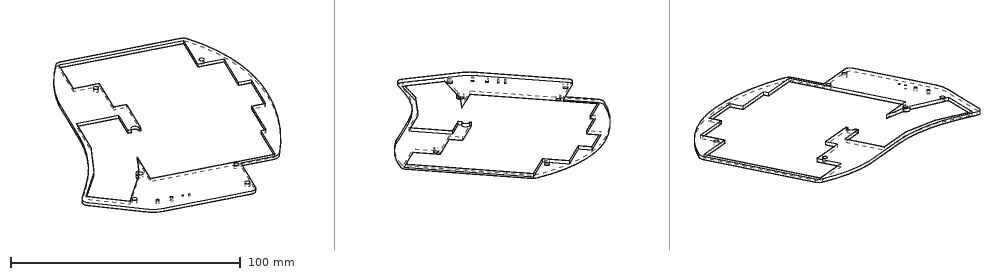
import cadquery as cq
import math

THICKNESS = 1.6
PLATE_WIDTH = 120.94
PLATE_HEIGHT = 103.08

CREST_X = 51.9
CREST_LEFT_RADIUS = 75.7
CREST_RIGHT_RADIUS = 106.0
NECK_X = 99.0
PANEL_TOP_Y = 74.55
PANEL_BEND_Y = 27.5
PANEL_SLOPE = math.radians(60)
BOTTOM_Y = 14.7
BOTTOM_LEFT_CORNER_Y = 23.8
BOTTOM_LEFT_RADIUS = 68.0
BOTTOM_FLAT_START_X = 29.4
BOTTOM_FLAT_END_X = 56.3
SWEEP_RADIUS = 75.7
SWEEP_ANGLE = math.radians(28.6)

TOP_CORNER_RADIUS = 4.0
LOWER_CORNER_RADIUS = 3.0
PANEL_CORNER_RADIUS = 2.5
PANEL_BEND_RADIUS = 15.0

KEY_PITCH = 19.05
COLUMN_HEIGHT = 57.45
FIRST_COLUMN_X = 2.15
COLUMN_BOTTOMS = (24.2, 36.2, 42.2, 35.8, 33.4)

THUMB_LEFT_X = 47.1
THUMB_BOTTOM_Y = 16.75
THUMB_TOP_Y = 36.2
THUMB_WIDTHS = (19.6, 18.5, 19.1)
THUMB_DEPTH = 19.5
THUMB_TURN = math.radians(15)

SCREW_DIAMETER = 2.2
BOSS_CENTRE = (92.34, 30.7)
SCREW_CENTRES = (
    (18.36, 84.35),
    (99.27, 72.35),
    (114.0, 72.35),
    (23.95, 33.7),
    BOSS_CENTRE,
    (109.85, 21.75),
)
PEG_DIAMETER = 1.3
PEG_CENTRES = ((114.05, 37.4), (114.05, 31.0))
PIN_DIAMETER = 0.7
PIN_CENTRES = ((114.3, 45.45), (114.3, 42.45))
BOSS_RADIUS = 2.1
NOTCH_CENTRE = (58.95, 39.6)
NOTCH_RADIUS = 1.75


def polar(start, length, angle):
    """Point at a given distance and direction from start."""
    return (start[0] + length * math.cos(angle), start[1] + length * math.sin(angle))


def crossing(point_a, angle_a, point_b, angle_b):
    """Crossing point of two lines, each given by a point and a direction."""
    dx = point_b[0] - point_a[0]
    dy = point_b[1] - point_a[1]
    length = (dx * math.sin(angle_b) - dy * math.cos(angle_b)) / math.sin(angle_b - angle_a)
    return polar(point_a, length, angle_a)


def crest_point(x, radius):
    """Point on a top arc of the given radius."""
    return (x, PLATE_HEIGHT - radius + math.sqrt(radius**2 - (x - CREST_X) ** 2))


def sweep_point(angle):
    """Point on the sweep arc after it has turned by angle from the flat bottom edge."""
    x = BOTTOM_FLAT_END_X + SWEEP_RADIUS * math.sin(angle)
    return (x, BOTTOM_Y - SWEEP_RADIUS * (1 - math.cos(angle)))


def round_corner(body, corner, radius):
    """Round the upright edge that stands at the given corner."""
    edge = cq.selectors.NearestToPointSelector((corner[0], corner[1], THICKNESS / 2))
    return body.edges("|Z").edges(edge).fillet(radius)


def make_blank():
    top_left = crest_point(0, CREST_LEFT_RADIUS)
    crest = (CREST_X, PLATE_HEIGHT)
    neck_top = crest_point(NECK_X, CREST_RIGHT_RADIUS)
    panel_corner = (PLATE_WIDTH, PANEL_TOP_Y)
    panel_bend = (PLATE_WIDTH, PANEL_BEND_Y)
    sweep_end = sweep_point(SWEEP_ANGLE)
    tip = crossing(panel_bend, PANEL_SLOPE, sweep_end, -SWEEP_ANGLE)
    bottom_left = (0, BOTTOM_LEFT_CORNER_Y)

    blank = (
        cq.Workplane("XY")
        .moveTo(*bottom_left)
        .lineTo(*top_left)
        .threePointArc(crest_point(CREST_X / 2, CREST_LEFT_RADIUS), crest)
        .threePointArc(crest_point((CREST_X + NECK_X) / 2, CREST_RIGHT_RADIUS), neck_top)
        .lineTo(NECK_X, PANEL_TOP_Y)
        .lineTo(*panel_corner)
        .lineTo(*panel_bend)
        .lineTo(*tip)
        .lineTo(*sweep_end)
        .threePointArc(sweep_point(SWEEP_ANGLE / 2), (BOTTOM_FLAT_END_X, BOTTOM_Y))
        .lineTo(BOTTOM_FLAT_START_X, BOTTOM_Y)
        .radiusArc(bottom_left, BOTTOM_LEFT_RADIUS)
        .close()
        .extrude(THICKNESS)
    )
    corners = (
        (top_left, TOP_CORNER_RADIUS),
        (neck_top, TOP_CORNER_RADIUS),
        (panel_corner, PANEL_CORNER_RADIUS),
        (panel_bend, PANEL_BEND_RADIUS),
        (tip, LOWER_CORNER_RADIUS),
        (bottom_left, LOWER_CORNER_RADIUS),
    )
    for corner, radius in corners:
        blank = round_corner(blank, corner, radius)
    return blank


def cut_key_columns(body):
    for index, bottom in enumerate(COLUMN_BOTTOMS):
        left = FIRST_COLUMN_X + index * KEY_PITCH
        column = cq.Workplane("XY").box(KEY_PITCH, COLUMN_HEIGHT, THICKNESS, centered=False)
        body = body.cut(column.translate((left, bottom, 0)))
    return body


def cut_thumb_keys(body):
    corners = [(THUMB_LEFT_X, THUMB_BOTTOM_Y)]
    for index, width in enumerate(THUMB_WIDTHS):
        corners.append(polar(corners[-1], width, -index * THUMB_TURN))
    middle_turn = -THUMB_TURN
    outer_turn = -2 * THUMB_TURN
    outer_top = polar(corners[-1], THUMB_DEPTH, outer_turn + math.pi / 2)
    middle_top = polar(corners[1], THUMB_DEPTH, middle_turn + math.pi / 2)
    inner_top = crossing(middle_top, middle_turn, outer_top, outer_turn)
    last_column_x = FIRST_COLUMN_X + (len(COLUMN_BOTTOMS) - 1) * KEY_PITCH
    middle_end = crossing(middle_top, middle_turn, (last_column_x, THUMB_TOP_Y), math.pi / 2)
    top_right = (last_column_x, THUMB_TOP_Y)
    top_left = (THUMB_LEFT_X, THUMB_TOP_Y)
    corners += [outer_top, inner_top, middle_end, top_right, top_left]
    return body.cut(cq.Workplane("XY").polyline(corners).close().extrude(THICKNESS))


def cylinders(centres, diameter):
    return cq.Workplane("XY").pushPoints(centres).circle(diameter / 2).extrude(THICKNESS)


def make_plate():
    plate = cut_thumb_keys(cut_key_columns(make_blank()))
    plate = plate.union(cylinders([BOSS_CENTRE], 2 * BOSS_RADIUS))
    plate = plate.cut(cylinders([NOTCH_CENTRE], 2 * NOTCH_RADIUS))
    plate = plate.cut(cylinders(SCREW_CENTRES, SCREW_DIAMETER))
    plate = plate.cut(cylinders(PEG_CENTRES, PEG_DIAMETER))
    return plate.cut(cylinders(PIN_CENTRES, PIN_DIAMETER))


result = make_plate()